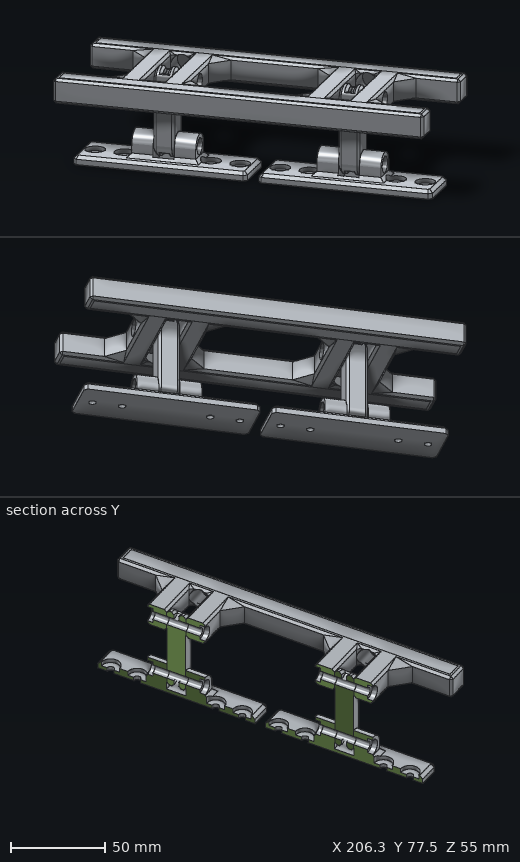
import cadquery as cq
import math

LENGTH = 206.3
WIDTH = 77.5
HEIGHT = 55.0
RAIL = 13.8
EDGE = 1.5
STATION_X = 51.5
POST_THICKNESS = 11.8
LUG_THICKNESS = 12.0
POST_WIDTH = 13.8
BOLT_HOLE = 5.2
BOLT_HEAD = 9.0
BOLT_HEAD_DEPTH = 3.3
LOWER_PIVOT_Z = 12.4

GUSSET_LEG = 9.5
INNER_GUSSET_LEG = 1.9
RAIL_BORE = 11.8
RAIL_BORE_DEPTH = 10.3

STRIP_INSET = 2.7
STRIP_DEPTH = 1.2

SLOT_WIDTH = 2.9
SLOT_RADIUS = 6.0
SLOT_CENTRE = 8.7
SLOT_EDGE = 1.5

PLATE_LENGTH = 96.8
PLATE_WIDTH = 28.0
PLATE_THICKNESS = 5.0
PLATE_EDGE = 1.9
FLARE = 2.3
SWING_RADIUS = 10.0
SCREW_OFFSETS = (24.1, 40.5)
SCREW_HOLE = 4.0
SCREW_HEAD = 11.0
SCREW_HEAD_DEPTH = 2.5

RAIL_Y = (WIDTH - RAIL) / 2
RAIL_INNER_Y = RAIL_Y - RAIL / 2
UPPER_PIVOT_Z = HEIGHT - RAIL / 2
GAP_HALF = POST_THICKNESS / 2
OUTER_HALF = GAP_HALF + LUG_THICKNESS
SIDES = (-1, 1)
STATIONS = (-STATION_X, STATION_X)


def x_cylinder(diameter, x_start, x_end, y, z):
    """Cylinder along X between two X positions."""
    disc = cq.Workplane("YZ", origin=(x_start, y, z)).circle(diameter / 2)
    return disc.extrude(x_end - x_start)


def pivot_bore(z):
    """Pivot hole along X with a bolt head recess in both outer faces."""
    bore = x_cylinder(BOLT_HOLE, -OUTER_HALF, OUTER_HALF, 0, z)
    for side in SIDES:
        start = side * OUTER_HALF
        end = side * (OUTER_HALF - BOLT_HEAD_DEPTH)
        bore = bore.union(x_cylinder(BOLT_HEAD, min(start, end), max(start, end), 0, z))
    return bore


def rail():
    return cq.Workplane("XY").box(LENGTH, RAIL, RAIL).edges().chamfer(EDGE)


def rung():
    """Cross bar with chamfered long edges; its ends reach under the flat top of the rails."""
    length = 2 * (RAIL_INNER_Y + EDGE)
    return cq.Workplane("XY").box(LUG_THICKNESS, length, RAIL).edges("|Y").chamfer(EDGE)


def gusset(leg):
    """Corner web in the +X, +Y quadrant; its top and bottom slope down to the diagonal face."""
    back = -EDGE
    web = cq.Workplane("XY").polyline([(back, back), (leg - back, back), (back, leg - back)]).close()
    web = web.extrude(RAIL / 2, both=True)
    web = web.intersect(cq.Workplane("XY").box(2 * leg, 2 * leg, RAIL))
    depth = leg / math.sqrt(2)
    root = back * math.sqrt(2)
    half = RAIL / 2
    profile = [(root, half), (depth, half - EDGE), (depth, EDGE - half), (root, -half)]
    slope = cq.Workplane("XZ").polyline(profile).close().extrude(2 * leg, both=True)
    return web.intersect(slope.rotate((0, 0, 0), (0, 0, 1), 45))


def frame_station():
    """Two rungs with gussets, about the middle of the gap between them."""
    station = cq.Workplane("XY")
    for side in SIDES:
        station = station.union(rung().translate((side * (GAP_HALF + LUG_THICKNESS / 2), 0, 0)))
    outer = gusset(GUSSET_LEG).translate((OUTER_HALF, -RAIL_INNER_Y, 0))
    inner = gusset(INNER_GUSSET_LEG).translate((-GAP_HALF, -RAIL_INNER_Y, 0))
    for corner in (outer, inner):
        pair = corner.union(corner.mirror("YZ"))
        station = station.union(pair).union(pair.mirror("XZ"))
    return station


def rail_bores():
    """Blind bores along Y into the inner faces of both rails, as one bar."""
    length = RAIL_INNER_Y + RAIL_BORE_DEPTH
    bar = cq.Workplane("XZ").circle(RAIL_BORE / 2).extrude(length, both=True)
    gap = cq.Workplane("XY").box(POST_THICKNESS, 2 * length, RAIL)
    return bar.intersect(gap)


def strip():
    return cq.Workplane("XY").box(LENGTH - 2 * STRIP_INSET, RAIL - 2 * STRIP_INSET, STRIP_DEPTH)


def make_strips():
    """Strips let in flush with the top and bottom of both rails."""
    offset_z = (RAIL - STRIP_DEPTH) / 2
    return [
        strip().translate((0, y_side * RAIL_Y, UPPER_PIVOT_Z + z_side * offset_z))
        for y_side in SIDES
        for z_side in SIDES
    ]


def make_frame(strips):
    body = cq.Workplane("XY")
    for side in SIDES:
        body = body.union(rail().translate((0, side * RAIL_Y, 0)))
    for x in STATIONS:
        body = body.union(frame_station().translate((x, 0, 0)))
    for x in STATIONS:
        body = body.cut(pivot_bore(0).translate((x, 0, 0)))
        body = body.cut(rail_bores().translate((x, 0, 0)))
    body = body.translate((0, 0, UPPER_PIVOT_Z))
    for inlay in strips:
        body = body.cut(inlay)
    return body


class SlotMouth(cq.Selector):
    """Edges round the mouths of the end slots: they lie on the round post ends, inside the slot width."""

    def __init__(self, pivot_z):
        self.pivot_z = pivot_z

    def filter(self, objects):
        return [edge for edge in objects if self.on_mouth(edge)]

    def on_mouth(self, edge):
        middle = edge.positionAt(0.5)
        radius = math.hypot(middle.y, abs(middle.z) - self.pivot_z)
        on_round_end = abs(radius - POST_WIDTH / 2) < 0.02
        return on_round_end and abs(middle.z) > self.pivot_z and abs(middle.x) < SLOT_WIDTH


def end_slot():
    """Cutter for the arc-shaped slot in a post end, with bevelled sides; the pivot is the origin."""
    half = SLOT_WIDTH / 2
    return x_cylinder(2 * SLOT_RADIUS, -half, half, 0, SLOT_CENTRE)


def make_post(x):
    span = UPPER_PIVOT_Z - LOWER_PIVOT_Z
    post = cq.Workplane("YZ").slot2D(span + POST_WIDTH, POST_WIDTH, 90).extrude(GAP_HALF, both=True)
    post = post.faces("<X or >X").edges().chamfer(EDGE)
    upper = end_slot().translate((0, 0, span / 2))
    post = post.cut(upper).cut(upper.mirror("XY"))
    post = post.edges(SlotMouth(span / 2)).chamfer(SLOT_EDGE)
    for z in (-span / 2, span / 2):
        post = post.cut(x_cylinder(BOLT_HOLE, -GAP_HALF, GAP_HALF, 0, z))
    return post.translate((x, 0, LOWER_PIVOT_Z + span / 2))


def base_plate():
    plate = cq.Workplane("XY").box(PLATE_LENGTH, PLATE_WIDTH, PLATE_THICKNESS, (True, True, False))
    return plate.edges("|Z").chamfer(PLATE_EDGE).faces(">Z").edges().chamfer(PLATE_EDGE)


def base_lugs():
    """Round-topped block on a flared foot, before the post's gap is cut."""
    lugs = x_cylinder(POST_WIDTH, -OUTER_HALF, OUTER_HALF, 0, LOWER_PIVOT_Z)
    web_height = LOWER_PIVOT_Z - PLATE_THICKNESS
    web = cq.Workplane("XY", origin=(0, 0, PLATE_THICKNESS))
    lugs = lugs.union(web.box(2 * OUTER_HALF, POST_WIDTH, web_height, (True, True, False)))
    foot = web.rect(2 * (OUTER_HALF + FLARE), POST_WIDTH + 2 * FLARE).extrude(FLARE, taper=45)
    return lugs.union(foot)


def make_base(x):
    base = base_plate().union(base_lugs())
    base = base.cut(x_cylinder(2 * SWING_RADIUS, -GAP_HALF, GAP_HALF, 0, LOWER_PIVOT_Z))
    base = base.cut(pivot_bore(LOWER_PIVOT_Z))
    for side in SIDES:
        for offset in SCREW_OFFSETS:
            top = cq.Workplane("XY", origin=(side * offset, 0, PLATE_THICKNESS))
            base = base.cut(top.circle(SCREW_HOLE / 2).extrude(-PLATE_THICKNESS))
            head = top.workplane(offset=-SCREW_HEAD_DEPTH).circle(SCREW_HEAD / 2)
            base = base.cut(head.extrude(SCREW_HEAD_DEPTH + FLARE))
    return base.translate((x, 0, 0))


strips = make_strips()
frame = make_frame(strips)
posts = [make_post(x) for x in STATIONS]
bases = [make_base(x) for x in STATIONS]

bodies = [frame, *strips, *posts, *bases]
result = cq.Compound.makeCompound([body.val() for body in bodies])